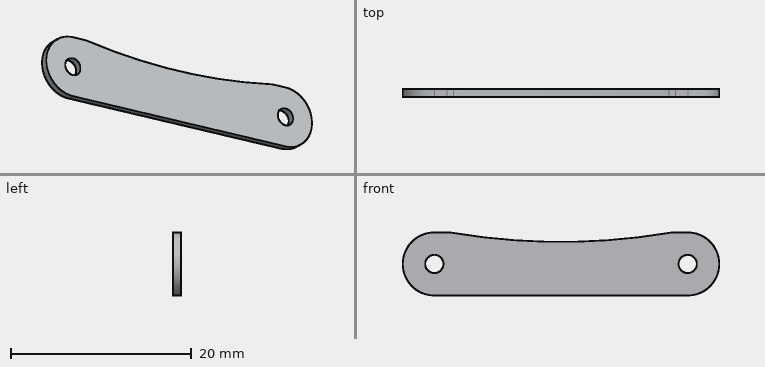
import cadquery as cq

length = 35.0
height = 7.0
thickness = 0.9
hole_diameter = 2.0
scoop_width = 24.5
scoop_depth = 1.05
blend_radius = 4.2

end_radius = height / 2
hole_x = length / 2 - end_radius
half_scoop = scoop_width / 2
top = height / 2
pick_margin = 0.35


def plate_body():
    """Round-ended plate, lying in the XZ plane, with a scooped top edge."""
    plate = (
        cq.Workplane("XZ")
        .moveTo(-hole_x, -top)
        .lineTo(hole_x, -top)
        .threePointArc((length / 2, 0), (hole_x, top))
        .lineTo(half_scoop, top)
        .threePointArc((0, top - scoop_depth), (-half_scoop, top))
        .lineTo(-hole_x, top)
        .threePointArc((-length / 2, 0), (-hole_x, -top))
        .close()
        .extrude(thickness / 2, both=True)
    )
    corner_selector = cq.selectors.BoxSelector(
        (-half_scoop - pick_margin, -thickness, top - pick_margin),
        (half_scoop + pick_margin, thickness, top + pick_margin),
    )
    return plate.edges("|Y").edges(corner_selector).fillet(blend_radius)


def end_holes():
    """Pins that cut one hole at the centre of each rounded end."""
    return (
        cq.Workplane("XZ", origin=(0, thickness, 0))
        .pushPoints([(-hole_x, 0), (hole_x, 0)])
        .circle(hole_diameter / 2)
        .extrude(2 * thickness)
    )


result = plate_body().cut(end_holes())